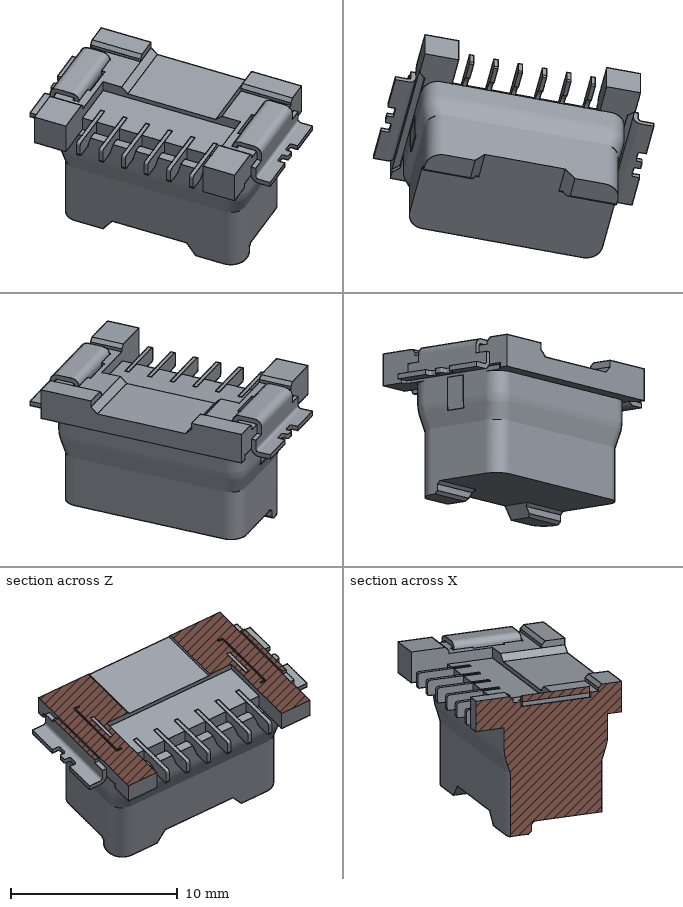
import cadquery as cq
import math


overall_width = 15.9
overall_height = 8.9

shroud_half_width = 6.23
shroud_half_depth = 3.4
shroud_corner_radius = 1.02
shoulder_inset = 0.3
shoulder_top_z = 5.31
shoulder_bottom_z = 4.02
shoulder_blend_radius = 1.75

tip_step_height = 0.78
tip_step_y = -1.59
tip_step_chamfer = 0.19
window_half_width_top = 2.46
window_half_width_bottom = 3.07

flange_half_width = 6.63
flange_back_y = 4.28
flange_front_y = -5.22
flange_bottom_z = 6.95
deck_z = 8.49
groove_half_depth = 2.77
groove_chamfer = 0.22

recess_floor_z = 8.11
recess_half_width_floor = 2.91
recess_half_width_top = 3.32

bay_half_width = 4.55
bay_back_y = 0.08
bay_floor_z = 7.82
bay_floor_front_y = -2.85

relief_top_z = 7.23
relief_half_length = 3.8

terminal_count = 6
terminal_pitch = 1.5
terminal_width = 0.25
terminal_back_y = -1.73
terminal_front_y = -5.18
terminal_top_z = 7.85
terminal_nose_radius = 0.17
terminal_toe_rise = 0.13
terminal_toe_run = 0.06
heel_y = -4.07
arch_peak_y = -3.5
arch_peak_z = 7.25

clip_thickness = 0.3
clip_bend_radius = 0.5
clip_inner_radius = clip_bend_radius - clip_thickness
clip_wall_outer_x = 7.0
clip_wall_inner_x = clip_wall_outer_x - clip_thickness
clip_leg_x = 5.07
clip_leg_bottom_z = 8.17
clip_foot_z = 6.88
clip_half_length = 3.0
clip_arch_half_length = 2.2
clip_shoulder_z = 7.97
foot_notch_half_length = 0.9
foot_notch_x = 7.45
tongue_half_length = 0.25
tongue_end_x = 7.85
tongue_corner_radius = 0.08
foot_notch_corner_radius = 0.1

leg_slot_half_length = 2.27
leg_slot_outer_x = 5.44
key_slot_half_length = 1.0
key_slot_x = 4.87

pad_half_width = 0.6
pad_x = 6.2
pad_bottom_z = 4.93


def box(x_range, y_range, z_range):
    """Axis-aligned box from its limits along X, Y and Z."""
    limits = (x_range, y_range, z_range)
    sizes = [high - low for low, high in limits]
    corner = tuple(low for low, _ in limits)
    return cq.Workplane("XY").box(*sizes, centered=False).translate(corner)


def profile_along_x(points, half_width):
    """Prism of a YZ outline, centred on X = 0."""
    return cq.Workplane("YZ").polyline(points).close().extrude(half_width, both=True)


def shroud_section(inset):
    """Rounded rectangle of the shroud, drawn in by inset on all sides."""
    width = 2 * (shroud_half_width - inset)
    depth = 2 * (shroud_half_depth - inset)
    return cq.Sketch().rect(width, depth).vertices().fillet(shroud_corner_radius)


def make_shroud():
    """Solid shroud with its tapered shoulder, before the tip is cut."""
    narrow = shroud_section(shoulder_inset)
    wide = shroud_section(0)
    shoulder_height = shoulder_top_z - shoulder_bottom_z
    shoulder = (
        cq.Workplane("XY")
        .workplane(offset=shoulder_bottom_z)
        .placeSketch(narrow, wide.moved(cq.Location(cq.Vector(0, 0, shoulder_height))))
        .loft(ruled=True)
    )
    upper = (
        cq.Workplane("XY")
        .workplane(offset=shoulder_top_z)
        .placeSketch(wide)
        .extrude(flange_bottom_z - shoulder_top_z)
    )
    lower = cq.Workplane("XY").placeSketch(narrow).extrude(shoulder_bottom_z)

    tolerance = 0.02
    shoulder_edges = cq.selectors.BoxSelector(
        (-shroud_half_width - 0.16, -shroud_half_depth - 0.16, shoulder_top_z - tolerance),
        (shroud_half_width + 0.16, shroud_half_depth + 0.16, shoulder_top_z + tolerance),
    )
    blended = upper.union(shoulder).edges(shoulder_edges).fillet(shoulder_blend_radius)
    return blended.union(lower)


def cut_shroud_tip(body):
    """Step the rear of the tip back and open a tapered window in the front wall."""
    rear_y = shroud_half_depth
    step_points = [
        (rear_y, 0),
        (rear_y, tip_step_height),
        (tip_step_y + tip_step_chamfer, tip_step_height),
        (tip_step_y, tip_step_height - tip_step_chamfer),
        (tip_step_y, tip_step_chamfer),
        (tip_step_y - tip_step_chamfer, 0),
    ]
    step = profile_along_x(step_points, shroud_half_width)
    window = (
        cq.Workplane("XZ")
        .polyline([
            (-window_half_width_bottom, 0),
            (-window_half_width_top, tip_step_height),
            (window_half_width_top, tip_step_height),
            (window_half_width_bottom, 0),
        ])
        .close()
        .extrude(shroud_half_depth)
    )
    return body.cut(step).cut(window)


def make_flange():
    """Flange block with its cross groove, rear recess, terminal bay and end reliefs."""
    flange_x = (-flange_half_width, flange_half_width)
    flange = box(flange_x, (flange_front_y, flange_back_y), (flange_bottom_z, overall_height))

    chamfer_y = groove_half_depth + groove_chamfer
    groove_points = [
        (-groove_half_depth, deck_z),
        (-groove_half_depth, overall_height - groove_chamfer),
        (-chamfer_y, overall_height),
        (chamfer_y, overall_height),
        (groove_half_depth, overall_height - groove_chamfer),
        (groove_half_depth, deck_z),
    ]
    flange = flange.cut(profile_along_x(groove_points, flange_half_width))

    recess = (
        cq.Workplane("XZ", origin=(0, flange_back_y, 0))
        .polyline([
            (-recess_half_width_floor, recess_floor_z),
            (-recess_half_width_top, deck_z),
            (-recess_half_width_top, overall_height),
            (recess_half_width_top, overall_height),
            (recess_half_width_top, deck_z),
            (recess_half_width_floor, recess_floor_z),
        ])
        .close()
        .extrude(flange_back_y - bay_back_y)
    )
    flange = flange.cut(recess)

    bay_x = (-bay_half_width, bay_half_width)
    flange = flange.cut(box(bay_x, (flange_front_y, bay_back_y), (bay_floor_z, overall_height)))
    flange = flange.cut(box(bay_x, (flange_front_y, bay_floor_front_y), (flange_bottom_z, bay_floor_z)))

    relief = (
        cq.Workplane("XY", origin=(0, 0, flange_bottom_z))
        .polyline([
            (flange_half_width, -relief_half_length),
            (flange_half_width, relief_half_length),
            (shroud_half_width, shroud_half_depth),
            (shroud_half_width, -shroud_half_depth),
        ])
        .close()
        .extrude(relief_top_z - flange_bottom_z)
    )
    return flange.cut(relief).cut(relief.mirror("YZ"))


def make_clip_slots():
    """Slots at the +X end of the deck: one for the clip leg and a short key slot beside it."""
    slot_z = (clip_leg_bottom_z, deck_z)
    leg_slot = box((clip_leg_x, leg_slot_outer_x), (-leg_slot_half_length, leg_slot_half_length), slot_z)
    key_slot = box((key_slot_x, clip_leg_x), (-key_slot_half_length, key_slot_half_length), slot_z)
    return leg_slot.union(key_slot)


def make_terminal(x):
    """Blade terminal with an arched underside and a flat foot."""
    nose = terminal_nose_radius
    nose_diagonal = nose * (1 - math.sqrt(0.5))
    return (
        cq.Workplane("YZ", origin=(x, 0, 0))
        .moveTo(terminal_back_y, terminal_top_z)
        .lineTo(terminal_front_y + nose, terminal_top_z)
        .threePointArc(
            (terminal_front_y + nose_diagonal, terminal_top_z - nose_diagonal),
            (terminal_front_y, terminal_top_z - nose),
        )
        .lineTo(terminal_front_y, clip_foot_z + terminal_toe_rise)
        .lineTo(terminal_front_y + terminal_toe_run, clip_foot_z)
        .lineTo(heel_y, clip_foot_z)
        .threePointArc((arch_peak_y, arch_peak_z), (bay_floor_front_y, flange_bottom_z))
        .lineTo(terminal_back_y, flange_bottom_z)
        .close()
        .extrude(terminal_width / 2, both=True)
    )


def make_clip():
    """Solder clip at the +X end: inner leg, arch, outer wall and foot."""
    outer = clip_bend_radius
    inner = clip_inner_radius
    diagonal = math.sqrt(0.5)
    arch_z = overall_height - outer
    leg_bend_x = clip_leg_x + outer
    wall_bend_x = clip_wall_outer_x - outer
    foot_bend_x = clip_wall_inner_x + outer
    foot_bend_z = clip_foot_z + outer
    foot_end_x = overall_width / 2
    strip = (
        cq.Workplane("XZ")
        .moveTo(clip_leg_x, clip_leg_bottom_z)
        .lineTo(clip_leg_x, arch_z)
        .threePointArc(
            (leg_bend_x - outer * diagonal, arch_z + outer * diagonal),
            (leg_bend_x, overall_height),
        )
        .lineTo(wall_bend_x, overall_height)
        .threePointArc(
            (wall_bend_x + outer * diagonal, arch_z + outer * diagonal),
            (clip_wall_outer_x, arch_z),
        )
        .lineTo(clip_wall_outer_x, foot_bend_z)
        .threePointArc(
            (foot_bend_x - inner * diagonal, foot_bend_z - inner * diagonal),
            (foot_bend_x, foot_bend_z - inner),
        )
        .lineTo(foot_end_x, foot_bend_z - inner)
        .lineTo(foot_end_x, clip_foot_z)
        .lineTo(foot_bend_x, clip_foot_z)
        .threePointArc(
            (foot_bend_x - outer * diagonal, foot_bend_z - outer * diagonal),
            (clip_wall_inner_x, foot_bend_z),
        )
        .lineTo(clip_wall_inner_x, arch_z)
        .threePointArc(
            (wall_bend_x + inner * diagonal, arch_z + inner * diagonal),
            (wall_bend_x, arch_z + inner),
        )
        .lineTo(leg_bend_x, arch_z + inner)
        .threePointArc(
            (leg_bend_x - inner * diagonal, arch_z + inner * diagonal),
            (leg_bend_x - inner, arch_z),
        )
        .lineTo(leg_bend_x - inner, clip_leg_bottom_z)
        .close()
        .extrude(clip_half_length, both=True)
    )

    for side_y in (
        (clip_arch_half_length, clip_half_length),
        (-clip_half_length, -clip_arch_half_length),
    ):
        strip = strip.cut(box((clip_leg_x, foot_end_x), side_y, (clip_shoulder_z, overall_height)))

    foot_z = (clip_foot_z, clip_foot_z + clip_thickness)
    notch = box((foot_notch_x, foot_end_x), (-foot_notch_half_length, foot_notch_half_length), foot_z)
    tongue = box((foot_notch_x, tongue_end_x), (-tongue_half_length, tongue_half_length), foot_z)
    tongue = tongue.edges("|Z and >X").fillet(tongue_corner_radius)
    notch = notch.cut(tongue).edges("|Z and <X").fillet(foot_notch_corner_radius)
    return strip.cut(notch)


def make_pad(x_range):
    """Block over the pad area at the +X end of the shroud, between two X positions."""
    return box(x_range, (-pad_half_width, pad_half_width), (pad_bottom_z, flange_bottom_z))


housing = cut_shroud_tip(make_shroud())
pad_recess = make_pad((pad_x, shroud_half_width))
housing = housing.cut(pad_recess).cut(pad_recess.mirror("YZ")).union(make_flange())
clip_slots = make_clip_slots()
housing = housing.cut(clip_slots).cut(clip_slots.mirror("YZ"))

pad = make_pad((shroud_half_width - shoulder_inset, pad_x))
result = housing
for end_part in (make_clip(), pad):
    result = result.union(end_part).union(end_part.mirror("YZ"))

for index in range(terminal_count):
    terminal_x = (index - (terminal_count - 1) / 2) * terminal_pitch
    result = result.union(make_terminal(terminal_x))